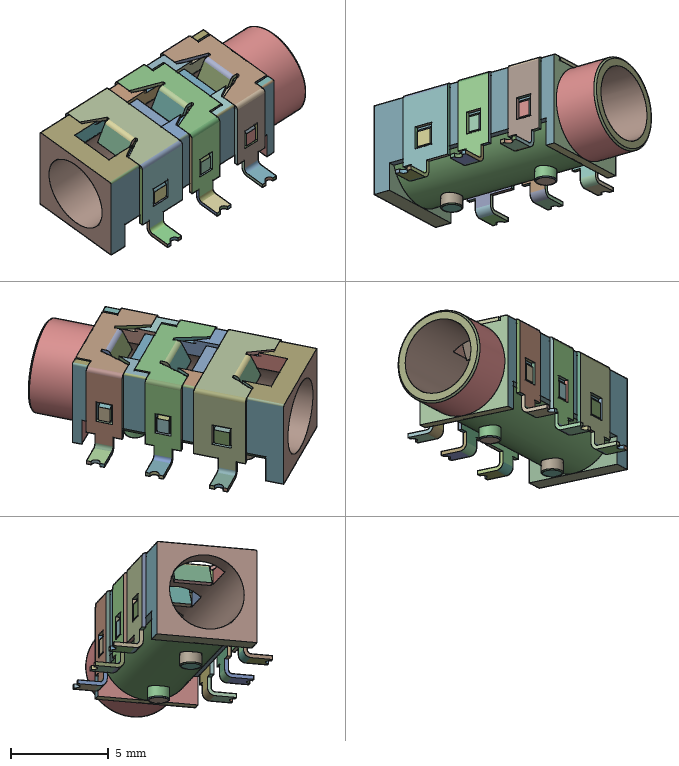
import cadquery as cq
import math


JOIN_OVERLAP = 0.21

TOTAL_LENGTH = 14.0
BARREL_DIA = 5.0
BORE_DIA = 4.0
BODY_LENGTH = 11.51
BODY_WIDTH = 5.38
BODY_HEIGHT = 5.01
AXIS_Z = BODY_HEIGHT / 2
BARREL_CHAMFER = 0.1
BODY_EDGE_RADIUS = 0.1

RELIEF_START = 0.98
RELIEF_END = 10.99
RELIEF_HEIGHT = 1.53

PEG_DIA = 1.15
PEG_DROP = 0.6
PEG_CHAMFER = 0.05
PEG_POSITIONS = [3.0, 9.0]

WINDOW_WIDTH = 2.58
RECESS_CLEARANCE = 0.1
ISLAND_HALF_WIDTH = 1.68
ISLAND_TAPER = 0.55

CATCH_DEPTH = 0.18
CATCH_BOTTOM = 1.89
CATCH_TOP = 2.9
CATCH_RAMP_HEIGHT = 0.17

SHEET = 0.21
CONTACT_WIDTH = BODY_WIDTH + 2 * SHEET
NECK_WIDTH = 4.24
STRAP_BOTTOM = 0.98
FRONT_OVERHANG = 1.0

LEG_WIDTH = 0.98
FOOT_SPAN = 8.5
FOOT_BEND_RADIUS = 0.2
FOOT_NOTCH_RADIUS = 0.24

MOUTH_WIDE_HALF = 1.85
MOUTH_NARROW_HALF = 1.15
TONGUE_WIDTH = 2.0
TONGUE_ANGLE = 63.0
TONGUE_BEND_RADIUS = 0.3
TONGUE_FLAT = 1.12

SLOT_BOTTOM = 1.8
SLOT_TOP = 3.02

ROOF_FLOOR = BODY_HEIGHT - SHEET
HALF_BODY = BODY_WIDTH / 2
HALF_CONTACT = CONTACT_WIDTH / 2

CONTACTS = [
    dict(leg=3.01, strap_end=4.85, neck_end=None, mouth_end=3.3, bend_start=3.26,
         slot=3.3, slot_width=1.04, catch_width=0.84, window_start=1.15, groove_start=None),
    dict(leg=6.51, strap_end=7.48, neck_end=8.3, mouth_end=7.27, bend_start=7.05,
         slot=6.51, slot_width=0.87, catch_width=0.65, window_start=5.56, groove_start=4.85),
    dict(leg=9.72, strap_end=10.68, neck_end=11.51, mouth_end=10.47, bend_start=10.26,
         slot=9.7, slot_width=0.9, catch_width=0.65, window_start=8.89, groove_start=8.3),
]


def block(x_size, y_start, y_end, z_start, z_end):
    """Box centred on X = 0."""
    return (
        cq.Workplane("XY")
        .box(x_size, y_end - y_start, z_end - z_start, centered=(True, False, False))
        .translate((0, y_start, z_start))
    )


def rod(diameter, y_start, y_end):
    """Cylinder on the insertion axis."""
    return (
        cq.Workplane("XZ", origin=(0, y_start, AXIS_Z))
        .circle(diameter / 2)
        .extrude(y_start - y_end)
    )


def trapezoid(half_start, half_end, y_start, y_end):
    """Tapered prism as thick as the contact roof, narrowing along Y."""
    return (
        cq.Workplane("XY", origin=(0, 0, ROOF_FLOOR))
        .polyline([(-half_start, y_start), (half_start, y_start), (half_end, y_end), (-half_end, y_end)])
        .close()
        .extrude(SHEET)
    )


def both_sides(solid):
    """The given shape together with its mirror image across X = 0."""
    return solid.union(solid.mirror("YZ"))


def strap_start(contact):
    """Y of the -Y edge of the strap."""
    return contact["leg"] - FRONT_OVERHANG


def body_block():
    """Rectangular body with rounded upper edges."""
    body = block(BODY_WIDTH, 0, BODY_LENGTH, 0, BODY_HEIGHT)
    return body.edges("|Y and >Z").fillet(BODY_EDGE_RADIUS)


def barrel():
    """Round collar behind the body."""
    return rod(BARREL_DIA, BODY_LENGTH, TOTAL_LENGTH).faces(">Y").chamfer(BARREL_CHAMFER)


def side_relief():
    """Lower corners cut back to a round wall around the bore."""
    outer = block(BODY_WIDTH, RELIEF_START, RELIEF_END, 0, RELIEF_HEIGHT)
    return outer.cut(rod(BARREL_DIA, RELIEF_START, RELIEF_END))


def peg(y):
    """Locating peg under the body."""
    solid = cq.Workplane("XY", origin=(0, y, -PEG_DROP)).circle(PEG_DIA / 2).extrude(PEG_DROP + JOIN_OVERLAP)
    return solid.faces("<Z").chamfer(PEG_CHAMFER)


def roof_recess(contact):
    """Seat that leaves the contact flush with the housing roof."""
    start = strap_start(contact)
    recess = block(BODY_WIDTH, start, contact["strap_end"], ROOF_FLOOR, BODY_HEIGHT)
    if contact["neck_end"] is not None:
        neck_width = NECK_WIDTH + 2 * RECESS_CLEARANCE
        recess = recess.union(
            block(neck_width, contact["strap_end"], contact["neck_end"], ROOF_FLOOR, BODY_HEIGHT)
        )
    length = (ISLAND_HALF_WIDTH - WINDOW_WIDTH / 2) / ISLAND_TAPER
    island = trapezoid(ISLAND_HALF_WIDTH, WINDOW_WIDTH / 2, start, start + length)
    return recess.cut(island)


def roof_window(contact):
    """Opening under the tongue, with a shallow groove to the next contact."""
    window = block(WINDOW_WIDTH, contact["window_start"], contact["mouth_end"], AXIS_Z, BODY_HEIGHT)
    if contact["groove_start"] is not None:
        window = window.union(
            block(WINDOW_WIDTH, contact["groove_start"], contact["window_start"], ROOF_FLOOR, BODY_HEIGHT)
        )
    return window


def catches(contact):
    """Pair of snap catches with a ramp at the top."""
    outer = HALF_BODY + CATCH_DEPTH
    width = contact["catch_width"]
    catch = (
        cq.Workplane("XZ", origin=(0, contact["slot"] + width / 2, 0))
        .moveTo(HALF_BODY - JOIN_OVERLAP, CATCH_BOTTOM)
        .lineTo(outer, CATCH_BOTTOM)
        .lineTo(outer, CATCH_TOP - CATCH_RAMP_HEIGHT)
        .lineTo(HALF_BODY, CATCH_TOP)
        .lineTo(HALF_BODY - JOIN_OVERLAP, CATCH_TOP)
        .close()
        .extrude(width)
    )
    return both_sides(catch)


def make_housing():
    housing = body_block().cut(side_relief()).union(barrel())
    for y in PEG_POSITIONS:
        housing = housing.union(peg(y))
    for contact in CONTACTS:
        housing = housing.cut(roof_recess(contact)).cut(roof_window(contact))
        housing = housing.union(catches(contact))
    return housing.cut(rod(BORE_DIA, 0, TOTAL_LENGTH))


def strap(contact):
    """Roof and side walls folded over the housing, with the neck on the roof."""
    start = strap_start(contact)
    outer = block(CONTACT_WIDTH, start, contact["strap_end"], STRAP_BOTTOM, BODY_HEIGHT)
    outer = outer.edges("|Y and >Z").fillet(SHEET)
    inner = block(BODY_WIDTH, start, contact["strap_end"], STRAP_BOTTOM, ROOF_FLOOR)
    folded = outer.cut(inner)
    if contact["neck_end"] is not None:
        folded = folded.union(
            block(NECK_WIDTH, contact["strap_end"], contact["neck_end"], ROOF_FLOOR, BODY_HEIGHT)
        )
    return folded


def legs(contact):
    """Pair of legs bent outward into notched solder feet."""
    bend_z = SHEET + FOOT_BEND_RADIUS
    bend_x = HALF_CONTACT + FOOT_BEND_RADIUS
    tip_x = FOOT_SPAN / 2
    outer_radius = SHEET + FOOT_BEND_RADIUS
    leg = (
        cq.Workplane("XZ", origin=(0, contact["leg"] + LEG_WIDTH / 2, 0))
        .moveTo(HALF_BODY, STRAP_BOTTOM)
        .lineTo(HALF_BODY, bend_z)
        .radiusArc((bend_x, 0), -outer_radius)
        .lineTo(tip_x, 0)
        .lineTo(tip_x, SHEET)
        .lineTo(bend_x, SHEET)
        .radiusArc((HALF_CONTACT, bend_z), FOOT_BEND_RADIUS)
        .lineTo(HALF_CONTACT, STRAP_BOTTOM)
        .close()
        .extrude(LEG_WIDTH)
    )
    notch = cq.Workplane("XY", origin=(tip_x, contact["leg"], 0)).circle(FOOT_NOTCH_RADIUS).extrude(SHEET)
    return both_sides(leg.cut(notch))


def tongue(contact):
    """Spring tongue that bends from the roof down into the bore."""
    angle = math.radians(TONGUE_ANGLE)
    inner_radius = TONGUE_BEND_RADIUS - SHEET
    bend_y = contact["bend_start"]
    bend_z = BODY_HEIGHT - TONGUE_BEND_RADIUS

    def on_bend(radius, turn):
        return (bend_y - radius * math.sin(turn), bend_z + radius * math.cos(turn))

    def at_tip(radius):
        y, z = on_bend(radius, angle)
        return (y - TONGUE_FLAT * math.cos(angle), z - TONGUE_FLAT * math.sin(angle))

    root_y = contact["mouth_end"] + JOIN_OVERLAP
    return (
        cq.Workplane("YZ", origin=(-TONGUE_WIDTH / 2, 0, 0))
        .moveTo(root_y, BODY_HEIGHT)
        .lineTo(bend_y, BODY_HEIGHT)
        .threePointArc(on_bend(TONGUE_BEND_RADIUS, angle / 2), on_bend(TONGUE_BEND_RADIUS, angle))
        .lineTo(*at_tip(TONGUE_BEND_RADIUS))
        .lineTo(*at_tip(inner_radius))
        .lineTo(*on_bend(inner_radius, angle))
        .threePointArc(on_bend(inner_radius, angle / 2), on_bend(inner_radius, 0))
        .lineTo(root_y, ROOF_FLOOR)
        .close()
        .extrude(TONGUE_WIDTH)
    )


def make_contact(contact):
    mouth = trapezoid(MOUTH_WIDE_HALF, MOUTH_NARROW_HALF, strap_start(contact), contact["mouth_end"])
    half_slot = contact["slot_width"] / 2
    slots = block(
        CONTACT_WIDTH, contact["slot"] - half_slot, contact["slot"] + half_slot, SLOT_BOTTOM, SLOT_TOP
    )
    return strap(contact).cut(mouth).cut(slots).union(legs(contact)).union(tongue(contact))


housing = make_housing()
contacts = [make_contact(contact) for contact in CONTACTS]

contact_solids = [contact.solids().val() for contact in contacts]

result = cq.Compound.makeCompound([housing.solids().val(), *contact_solids])